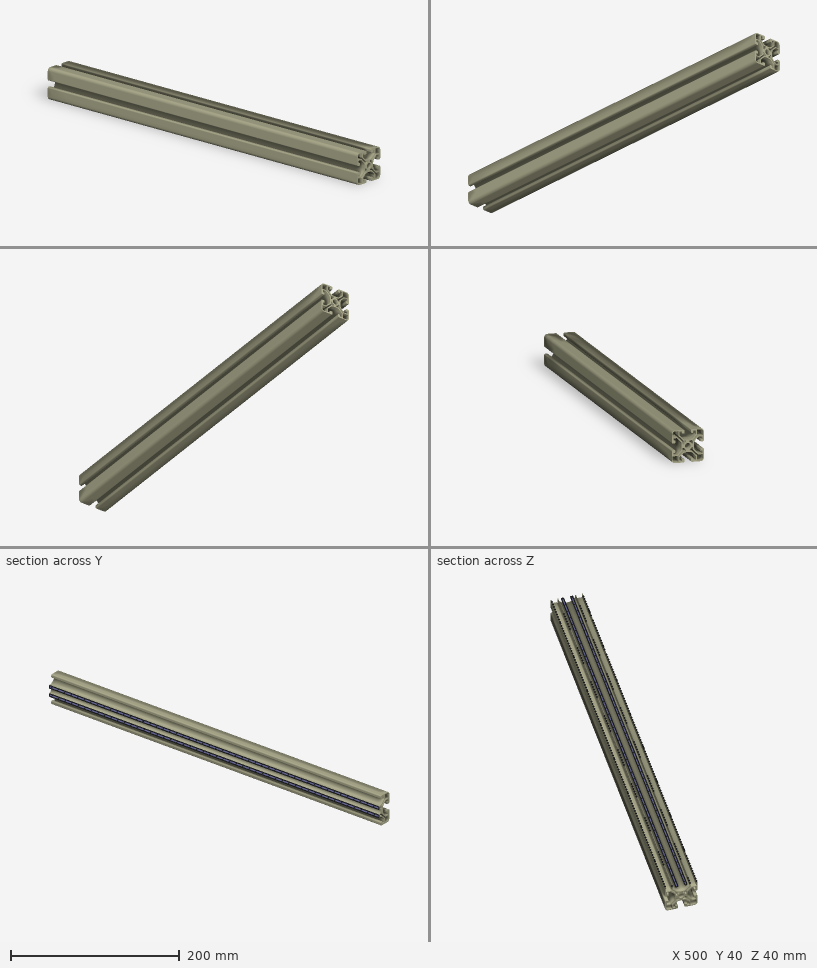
import cadquery as cq
import math

length = 500.0
side = 40.0
half_side = side / 2
corner_radius = 4.0
wall = 1.2

mouth_half = 4.0
lip_round = 1.5
lip_edge_round = 1.0
lip_tip_length = 3.25
lip_root_length = 3.1
lip_tip_thickness = 4.5
lip_root_thickness = 2.0
slot_half = mouth_half + lip_tip_length + lip_root_length
floor_round = 7.0

web_half = 2.2
channel_half = 0.85

bore_radius = 3.4
bore_wall = 1.75
spoke_half = 2.0
pocket_far = 6.5
floor_wall = 1.1
floor_height = pocket_far + floor_wall

web_rise = web_half * math.sqrt(2)
channel_rise = channel_half * math.sqrt(2)


def profile():
    """Sketch plane of the bar's cross-section: local x is Y and local y is Z."""
    return cq.Workplane("YZ")


def slot_cutter():
    """T-slot opening towards +Z, with sloped sides that run along the diagonal webs."""
    lip_tip_height = half_side - lip_tip_thickness
    lip_root_height = half_side - lip_root_thickness
    lip_step = mouth_half + lip_tip_length
    mouth_edge = mouth_half + lip_round

    floor_corner = floor_height - web_rise
    blend_length = floor_round * math.tan(math.pi / 8)
    blend_rise = blend_length * math.sin(math.pi / 4)
    blend_top = (floor_corner + blend_rise, floor_height + blend_rise)
    blend_end = floor_corner - blend_length

    half_slot = (
        profile()
        .moveTo(0, half_side)
        .lineTo(mouth_edge, half_side)
        .radiusArc((mouth_half, half_side - lip_round), -lip_round)
        .lineTo(mouth_half, lip_tip_height + lip_edge_round)
        .radiusArc((mouth_half + lip_edge_round, lip_tip_height), -lip_edge_round)
        .lineTo(lip_step, lip_tip_height)
        .lineTo(lip_step, lip_root_height)
        .lineTo(slot_half, lip_root_height)
        .lineTo(slot_half, slot_half + web_rise)
        .lineTo(*blend_top)
        .radiusArc((blend_end, floor_height), floor_round)
        .lineTo(0, floor_height)
    )
    return half_slot.mirrorY().extrude(length)


def corner_cavity():
    """Hollow in the +Y +Z quarter: corner box, web channel and pocket beside the bore."""
    box_near = slot_half + wall
    box_size = half_side - wall - box_near
    box_middle = box_near + box_size / 2
    box = (
        profile()
        .center(box_middle, box_middle)
        .rect(box_size, box_size)
        .extrude(length)
        .edges("|X and >Y and >Z")
        .fillet(corner_radius - wall)
    )
    channel = (
        profile()
        .moveTo(spoke_half, spoke_half)
        .lineTo(spoke_half, pocket_far)
        .lineTo(pocket_far - channel_rise, pocket_far)
        .lineTo(box_near, box_near + channel_rise)
        .lineTo(box_near + channel_rise, box_near)
        .lineTo(pocket_far, pocket_far - channel_rise)
        .lineTo(pocket_far, spoke_half)
        .close()
        .extrude(length)
    )
    bore_tube = profile().circle(bore_radius + bore_wall).extrude(length)
    return box.union(channel.cut(bore_tube))


bar = profile().rect(side, side).extrude(length).edges("|X").fillet(corner_radius)

cutter = slot_cutter().add(corner_cavity()).combine()
for quarter in range(4):
    bar = bar.cut(cutter.rotate((0, 0, 0), (1, 0, 0), 90 * quarter))

bore = profile().circle(bore_radius).extrude(length)
result = bar.cut(bore)